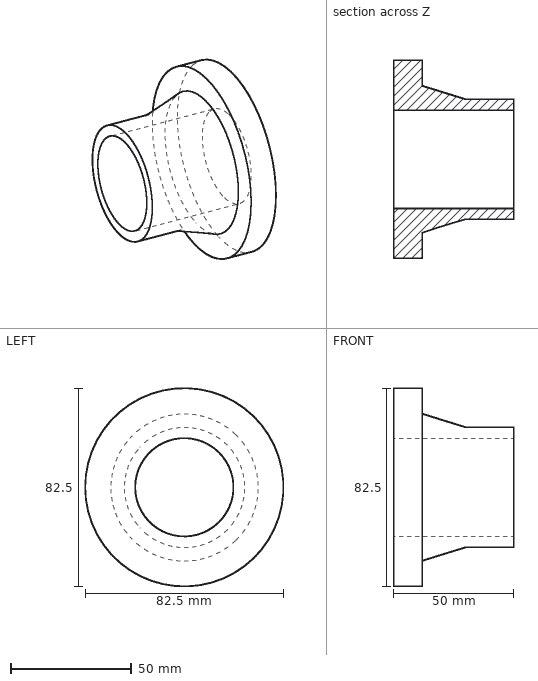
import cadquery as cq

flange_diameter = 82.55
flange_thickness = 12.0
hub_diameter = 50.0
bore_diameter = 40.8
total_length = 50.0

neck_base_diameter = 61.25
neck_length = 18.1

flange_radius = flange_diameter / 2
hub_radius = hub_diameter / 2
bore_radius = bore_diameter / 2
neck_base_radius = neck_base_diameter / 2
neck_end = flange_thickness + neck_length

half_section = (
    cq.Workplane("XY")
    .moveTo(0, bore_radius)
    .lineTo(0, flange_radius)
    .lineTo(flange_thickness, flange_radius)
    .lineTo(flange_thickness, neck_base_radius)
    .lineTo(neck_end, hub_radius)
    .lineTo(total_length, hub_radius)
    .lineTo(total_length, bore_radius)
    .close()
)

result = half_section.revolve(360, (0, 0, 0), (1, 0, 0))